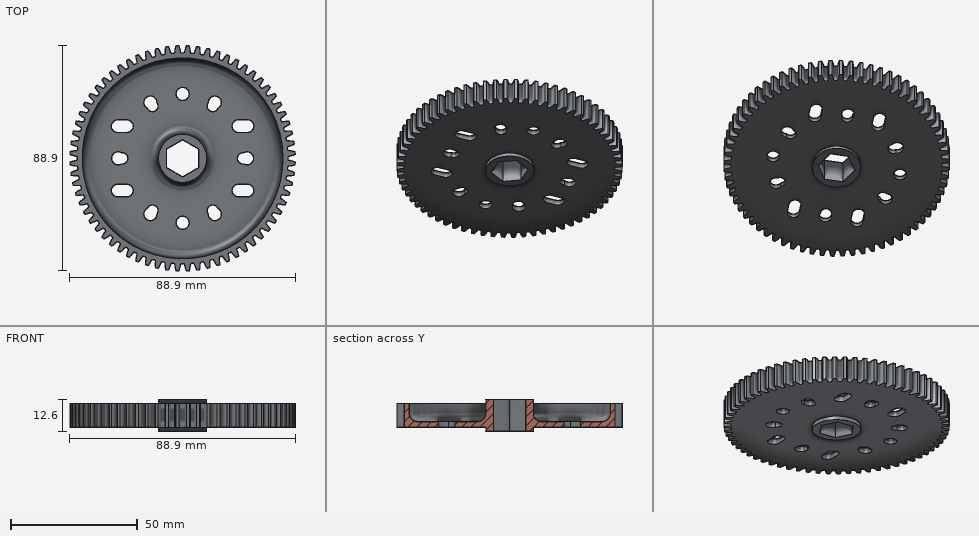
import cadquery as cq
import math

outer_diameter = 88.9
teeth = 68
pressure_angle = math.radians(14.5)
dedendum_factor = 1.25
backlash = 0.1
root_fillet = 0.4

module = outer_diameter / (teeth + 2)
tip_radius = outer_diameter / 2
pitch_radius = module * teeth / 2
root_radius = pitch_radius - dedendum_factor * module
base_radius = pitch_radius * math.cos(pressure_angle)
pitch_tooth_width = math.pi * module / 2 - backlash

rim_width = 9.5
hub_width = 12.6
hub_diameter = 19.0
pocket_diameter = 79.25
web_thickness = 2.3
web_fillet = 3.2
hex_across_flats = 12.6

bolt_circle_radius = 25.4
bolt_hole_diameter = 5.1
inner_circle_radius = 23.8
inner_hole_diameter = 4.35
slot_length = 8.5
slot_width = 4.9

rim_bottom = -rim_width / 2
web_top = rim_bottom + web_thickness


def polar(radius, angle):
    return (radius * math.cos(angle), radius * math.sin(angle))


def involute(angle):
    return math.tan(angle) - angle


def tooth_half_angle(radius):
    """Half of the angle that one tooth spans at a radius on its involute flanks."""
    flank_angle = math.acos(base_radius / radius)
    return pitch_tooth_width / (2 * pitch_radius) + involute(pressure_angle) - involute(flank_angle)


def toothed_disc():
    """Rim-wide disc with all teeth; one tooth gap is centred on +X."""
    pitch_angle = 2 * math.pi / teeth
    base_half = tooth_half_angle(base_radius)
    pitch_half = tooth_half_angle(pitch_radius)
    tip_half = tooth_half_angle(tip_radius)

    fillet_center_radius = root_radius + root_fillet
    fillet_span = math.asin(root_fillet / fillet_center_radius)
    fillet_top_radius = fillet_center_radius * math.cos(fillet_span)
    fillet_center_half = base_half + fillet_span

    def fillet_middle(tooth_middle, side):
        """Point halfway along the root fillet on one side (+1 or -1) of a tooth."""
        center_angle = tooth_middle + side * fillet_center_half
        inward = center_angle + math.pi + side * math.pi / 4
        center_x, center_y = polar(fillet_center_radius, center_angle)
        offset_x, offset_y = polar(root_fillet, inward)
        return (center_x + offset_x, center_y + offset_y)

    outline = cq.Workplane("XY", origin=(0, 0, rim_bottom))
    outline = outline.moveTo(*polar(root_radius, pitch_angle / 2 - fillet_center_half))
    for i in range(teeth):
        middle = (i + 0.5) * pitch_angle
        gap_middle = middle + pitch_angle / 2
        next_root_start = middle + pitch_angle - fillet_center_half
        outline = (
            outline.threePointArc(fillet_middle(middle, -1), polar(fillet_top_radius, middle - base_half))
            .threePointArc(polar(pitch_radius, middle - pitch_half), polar(tip_radius, middle - tip_half))
            .threePointArc(polar(tip_radius, middle), polar(tip_radius, middle + tip_half))
            .threePointArc(
                polar(pitch_radius, middle + pitch_half), polar(fillet_top_radius, middle + base_half)
            )
            .threePointArc(fillet_middle(middle, 1), polar(root_radius, middle + fillet_center_half))
            .threePointArc(polar(root_radius, gap_middle), polar(root_radius, next_root_start))
        )
    return outline.close().extrude(rim_width)


def pocket():
    """Ring-shaped recess above the web, rounded at the rim wall and at the hub."""
    ring = (
        cq.Workplane("XY", origin=(0, 0, web_top))
        .circle(pocket_diameter / 2)
        .circle(hub_diameter / 2)
        .extrude(hub_width)
    )
    return ring.faces("<Z").edges().fillet(web_fillet)


def below_hub():
    """Workplane at the underside of the hub, where the through cuts start."""
    return cq.Workplane("XY", origin=(0, 0, -hub_width / 2))


def slot_centers():
    """One slot in each quadrant, beside the bolt holes at 30 degrees."""
    slot_y = bolt_circle_radius / 2
    return [(x, y) for x in (-inner_circle_radius, inner_circle_radius) for y in (-slot_y, slot_y)]


def web_openings():
    """Round bolt holes, the smaller holes that overlap them on an inner circle, and the slots."""
    hole_angles = [math.radians(a) for a in range(0, 360, 60)]
    top_and_bottom = [(0, bolt_circle_radius), (0, -bolt_circle_radius)]
    bolt_holes = top_and_bottom + [polar(bolt_circle_radius, a) for a in hole_angles]
    inner_holes = [polar(inner_circle_radius, a) for a in hole_angles]
    openings = below_hub().pushPoints(bolt_holes).circle(bolt_hole_diameter / 2).extrude(hub_width)
    inner = below_hub().pushPoints(inner_holes).circle(inner_hole_diameter / 2).extrude(hub_width)
    slots = below_hub().pushPoints(slot_centers()).slot2D(slot_length, slot_width).extrude(hub_width)
    return openings.union(inner).union(slots)


def hex_bore():
    """Through bore with flats facing +X and -X."""
    across_corners = hex_across_flats / math.cos(math.pi / 6)
    hexagon = cq.Sketch().regularPolygon(across_corners / 2, 6)
    return below_hub().placeSketch(hexagon).extrude(hub_width)


hub = cq.Workplane("XY").circle(hub_diameter / 2).extrude(hub_width / 2, both=True)
result = toothed_disc().cut(pocket()).union(hub).cut(web_openings()).cut(hex_bore())